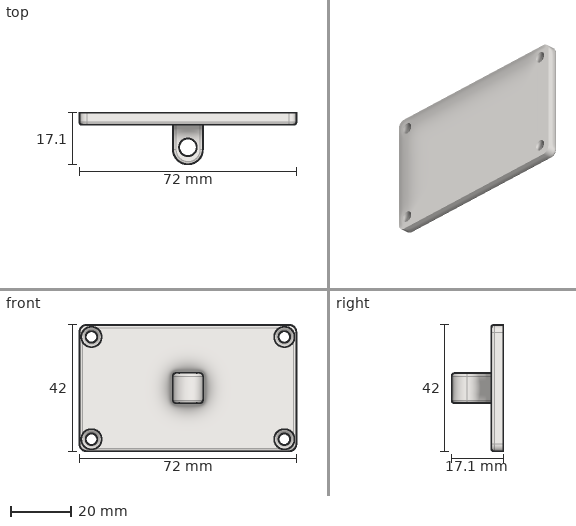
import cadquery as cq

plate_width = 72.0
plate_height = 42.0
plate_thickness = 4.0
corner_radius = 2.5
edge_round = 1.0

screw_inset = 4.0
screw_diameter = 3.75
countersink_diameter = 6.8
countersink_angle = 90

overall_depth = 17.1
lug_width = 10.0
lug_height = 10.0
lug_radius = lug_width / 2
lug_arc_center = overall_depth - lug_radius
eye_diameter = 5.75
eye_distance = 11.45


def make_plate():
    """Rounded plate with softened front edges and countersunk screw holes."""
    plate = (
        cq.Workplane("XZ")
        .rect(plate_width, plate_height)
        .extrude(plate_thickness)
        .edges("|Y")
        .fillet(corner_radius)
        .faces("<Y")
        .edges()
        .fillet(edge_round)
    )
    return (
        plate.faces("<Y")
        .workplane(origin=(0, -plate_thickness, 0))
        .rect(plate_width - 2 * screw_inset, plate_height - 2 * screw_inset, forConstruction=True)
        .vertices()
        .cskHole(screw_diameter, countersink_diameter, countersink_angle)
    )


def make_lug():
    """Round-ended lug with softened top and bottom rims, reaching into the plate."""
    root = -plate_thickness / 2
    return (
        cq.Workplane("XY", origin=(0, 0, -lug_height / 2))
        .moveTo(-lug_radius, root)
        .lineTo(-lug_radius, -lug_arc_center)
        .threePointArc((0, -overall_depth), (lug_radius, -lug_arc_center))
        .lineTo(lug_radius, root)
        .close()
        .extrude(lug_height)
        .faces("|Z")
        .edges("not >Y")
        .fillet(edge_round)
    )


def make_eye():
    """Cylinder that cuts the vertical eye through the lug."""
    return (
        cq.Workplane("XY", origin=(0, -eye_distance, -lug_height / 2))
        .circle(eye_diameter / 2)
        .extrude(lug_height)
    )


result = make_plate().union(make_lug()).cut(make_eye())